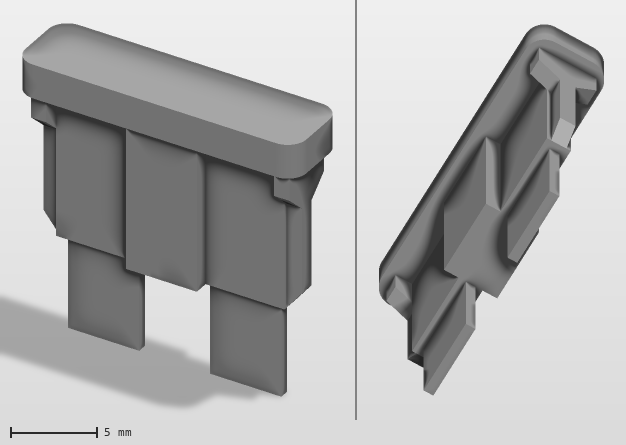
import cadquery as cq


total_height = 18.8

cap_length = 19.05
cap_width = 5.09
cap_height = 2.3
cap_corner_radius = 1.28

body_height = 10.13
slab_length = 15.47
slab_thickness = 1.6
core_thickness = 3.56

blade_width = 4.84
blade_gap = 4.8
blade_thickness = 0.65

rib_reach = 1.03
rib_thickness = 1.03
rib_chamfer_height = 1.28
shoulder_width = 3.85
shoulder_height = 1.8
shoulder_taper_height = 1.28

cap_bottom = total_height - cap_height
body_bottom = cap_bottom - body_height
shoulder_bottom = cap_bottom - shoulder_height
taper_bottom = shoulder_bottom - shoulder_taper_height
slab_end = slab_length / 2
rib_end = slab_end + rib_reach
blade_center = (blade_gap + blade_width) / 2


def upright_block(length, thickness, bottom, top, center_x=0):
    """Box centred on the XZ plane, standing between two levels."""
    block = cq.Workplane("XY").box(length, thickness, top - bottom, centered=(True, True, False))
    return block.translate((center_x, 0, bottom))


def make_cap():
    cap = upright_block(cap_length, cap_width, cap_bottom, total_height)
    return cap.edges("|Z").fillet(cap_corner_radius)


def make_end_ribs():
    """Ribs on both ends of the slab, widening into shoulders below the cap."""
    half_shoulder = shoulder_width / 2
    half_rib = rib_thickness / 2
    end_profile = (
        cq.Workplane("YZ")
        .moveTo(-half_shoulder, cap_bottom)
        .lineTo(-half_shoulder, shoulder_bottom)
        .lineTo(-half_rib, taper_bottom)
        .lineTo(-half_rib, body_bottom)
        .lineTo(half_rib, body_bottom)
        .lineTo(half_rib, taper_bottom)
        .lineTo(half_shoulder, shoulder_bottom)
        .lineTo(half_shoulder, cap_bottom)
        .close()
        .extrude(rib_end, both=True)
    )
    side_outline = (
        cq.Workplane("XZ")
        .moveTo(slab_end, cap_bottom)
        .lineTo(rib_end, cap_bottom)
        .lineTo(rib_end, body_bottom + rib_chamfer_height)
        .lineTo(slab_end, body_bottom)
        .close()
        .extrude(shoulder_width, both=True)
    )
    rib = end_profile.intersect(side_outline)
    return rib.union(rib.mirror("YZ"))


slab = upright_block(slab_length, slab_thickness, body_bottom, cap_bottom)
core = upright_block(blade_gap, core_thickness, body_bottom, cap_bottom)

result = make_cap().union(slab).union(core).union(make_end_ribs())
for side in (-1, 1):
    blade = upright_block(blade_width, blade_thickness, 0, cap_bottom, side * blade_center)
    result = result.union(blade)